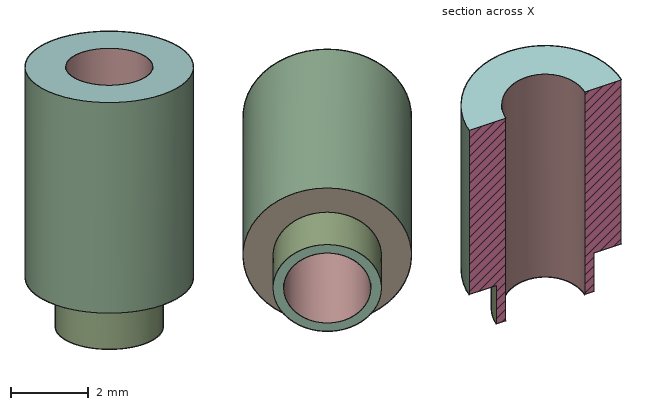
import cadquery as cq

total_height = 7.4
body_diameter = 4.35
spigot_diameter = 2.8
spigot_height = 1.4
bore_diameter = 2.25

body_height = total_height - spigot_height

spigot = cq.Workplane("XY").circle(spigot_diameter / 2).extrude(spigot_height)

sleeve = spigot.faces(">Z").workplane().circle(body_diameter / 2).extrude(body_height)

result = sleeve.faces(">Z").workplane().circle(bore_diameter / 2).cutThruAll()